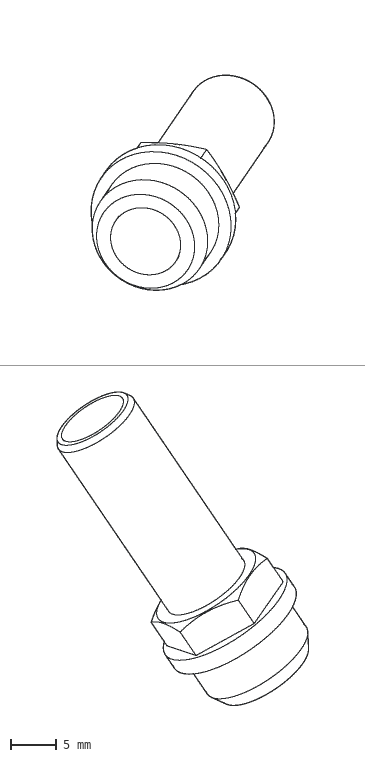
import cadquery as cq
import math

BORE_DIAMETER = 8.0

SPIGOT_DIAMETER = 13.2
SPIGOT_TIP_DIAMETER = 11.2
SPIGOT_LENGTH = 6.5
SPIGOT_TAPER_LENGTH = 1.8

FLANGE_DIAMETER = 16.0
FLANGE_THICKNESS = 2.0

HEX_ACROSS_FLATS = 13.0
HEX_SIDES = 6
HEX_LENGTH = 4.0
HEX_END_DIAMETER = 12.8
HEX_CHAMFER_ANGLE = 30.0

TUBE_DIAMETER = 10.0
TUBE_LENGTH = 24.0
TUBE_CHAMFER_LENGTH = 0.7
TUBE_CHAMFER_DEPTH = 0.4

SPIGOT_TIP_Y = 0.0
FLANGE_Y = SPIGOT_TIP_Y + SPIGOT_LENGTH
HEX_Y = FLANGE_Y + FLANGE_THICKNESS
TUBE_Y = HEX_Y + HEX_LENGTH
TUBE_END_Y = TUBE_Y + TUBE_LENGTH

HEX_ACROSS_CORNERS = HEX_ACROSS_FLATS / math.cos(math.pi / HEX_SIDES)


def revolve_about_y(points):
    """Revolve a closed (radius, Y) outline about the Y axis."""
    return cq.Workplane("XY").polyline(points).close().revolve(360, (0, 0, 0), (0, 1, 0))


def make_round_body():
    """Tapered spigot, flange and chamfered tube, hollowed by the through bore."""
    bore_radius = BORE_DIAMETER / 2
    spigot_radius = SPIGOT_DIAMETER / 2
    flange_radius = FLANGE_DIAMETER / 2
    tube_radius = TUBE_DIAMETER / 2
    return revolve_about_y([
        (bore_radius, SPIGOT_TIP_Y),
        (SPIGOT_TIP_DIAMETER / 2, SPIGOT_TIP_Y),
        (spigot_radius, SPIGOT_TIP_Y + SPIGOT_TAPER_LENGTH),
        (spigot_radius, FLANGE_Y),
        (flange_radius, FLANGE_Y),
        (flange_radius, HEX_Y),
        (tube_radius, HEX_Y),
        (tube_radius, TUBE_END_Y - TUBE_CHAMFER_LENGTH),
        (tube_radius - TUBE_CHAMFER_DEPTH, TUBE_END_Y),
        (bore_radius, TUBE_END_Y),
    ])


def make_hexagon():
    """Wrench hexagon with corners on the X axis, its tube-side corners chamfered by a cone."""
    prism = (
        cq.Workplane("XZ", origin=(0, HEX_Y, 0))
        .polygon(HEX_SIDES, HEX_ACROSS_CORNERS)
        .circle(BORE_DIAMETER / 2)
        .extrude(-HEX_LENGTH)
    )
    end_radius = HEX_END_DIAMETER / 2
    corner_radius = HEX_ACROSS_CORNERS / 2
    chamfer_drop = (corner_radius - end_radius) * math.tan(math.radians(HEX_CHAMFER_ANGLE))
    chamfer_envelope = revolve_about_y([
        (0, HEX_Y),
        (corner_radius, HEX_Y),
        (corner_radius, TUBE_Y - chamfer_drop),
        (end_radius, TUBE_Y),
        (0, TUBE_Y),
    ])
    return prism.intersect(chamfer_envelope)


result = make_round_body().union(make_hexagon())